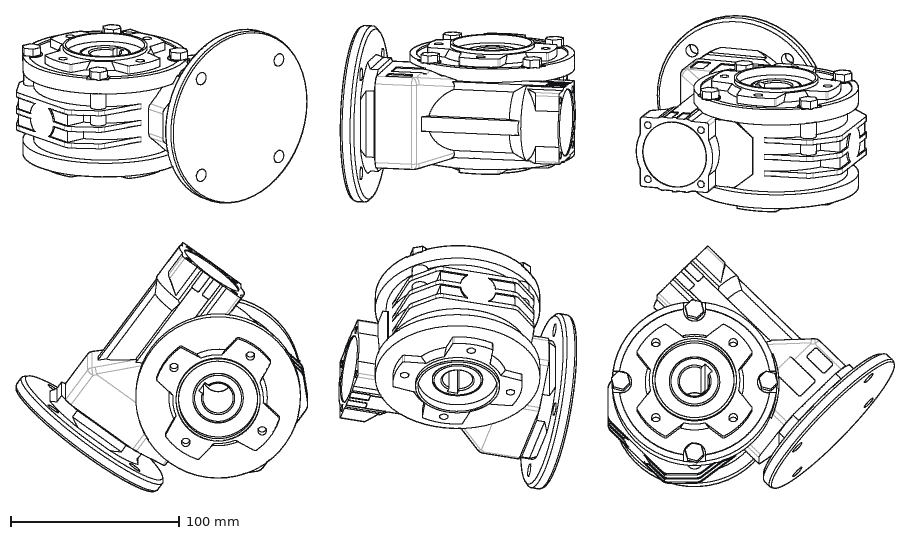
import cadquery as cq
import math


cover_radius = 98.0 / 2
flange_radius = 105.0 / 2
overall_length = 146.5
worm_axis_y = overall_length - cover_radius - flange_radius
input_end_x = 71.5
block_end_x = 55.7
cap_end_x = -55.1

cut_margin = 1.5
position_tolerance = 0.01

disc_inner_z = 21.5
disc_outer_z = 30.0
bolt_seat_z = 30.5
cover_rim_z = 31.0
foot_top_z = 35.0
lip_top_z = 37.2
seal_face_z = 32.2
shaft_end_z = 32.5

barrel_radius = 42.5
cover_rim_inner_radius = 45.1
lip_radius = 50.0 / 2
seal_radius = 47.0 / 2
cone_base_radius = 29.3
cone_top_radius = 27.0
foot_radius = 38.5
foot_half_width_root = 17.1
foot_half_width_tip = 12.0
foot_corner_fillet = 1.2
foot_hole_diameter = 5.0
foot_hole_circle_radius = 32.5
foot_hole_depth = 8.8

bolt_offset = 31.0
bolt_head_flats = 10.0
bolt_seat_diameter = 13.0
bolt_column_radius = 4.7

shaft_radius = 30.0 / 2
shaft_chamfer = 1.0
bore_radius = 18.0 / 2
bore_chamfer = 0.9
keyway_width = 6.0
keyway_top_y = 11.9

fin_thickness = 3.1
fin_pitch = 10.3
fin_count = 3
fin_root_x = 42.0
fin_root_y = -5.9
fin_corner_x = 38.4
fin_corner_y = -34.4
fin_front_x = 23.9
fin_corner_fillet = 6.0
fin_back_depth = 1.0
fin_back_half_width = 22.9
plug_radius = 10.8

tube_radius = 19.8
plate_side = 43.0
plate_corner_fillet = 1.6
plate_outer_x = -40.9
plate_inner_x = -33.3
plate_slope_y = 10.3
collar_radius = 48.2 / 2
collar_half_height = 22.7
collar_end_x = -32.4
tube_start_x = -24.3
spine_top_z = 23.0
spine_half_width = 6.2
spine_root_half_width = 7.0
spine_root_z = 17.6
side_rib_reach = 23.0
side_rib_thickness = 8.8
cap_radius = 40.0 / 2
cap_recess = 0.7
plate_hole_diameter = 4.1
plate_hole_offset = 16.7
plate_hole_depth = 8.8
slot_length = 11.7
slot_width = 5.1
slot_spacing = 7.8
slot_depth = 0.6
slot_fillet = 0.9
web_start_x = -42.9
web_half_height = 20.5
web_front_half_height = 11.3
web_chamfer_y = 11.4

block_half_height = 27.8
block_front_y = -1.6
block_back_y = 71.6
block_front_half_height = 9.4
block_chamfer_y = 22.3
block_diagonal_offset = 39.7
block_slope_start_x = 31.8
block_slope = 0.215
block_fillet = 4.0
cover_clearance_radius = 50.2
cover_clearance_z = 25.2
panel_depth = 0.66
side_panel = (28.4, 50.1, 38.4, 52.0)
label_panel = (35.5, 50.2, 58.5, 66.6)
panel_corner_fillet = 1.2

flange_back_x = 63.4
flange_back_chamfer = 1.9
flange_face_chamfer_x = 1.3
flange_face_chamfer_radial = 0.7
neck_radius = 35.7
neck_width = 59.2
neck_height = 61.8
neck_flare = 3.0
flange_hole_diameter = 7.5
flange_hole_offset = 30.0


def box(x_min, x_max, y_min, y_max, z_min, z_max):
    return (
        cq.Workplane("XY")
        .box(x_max - x_min, y_max - y_min, z_max - z_min, centered=False)
        .translate((x_min, y_min, z_min))
    )


def disc(radius, z_min, z_max):
    return cq.Workplane("XY").workplane(offset=z_min).circle(radius).extrude(z_max - z_min)


def worm_plane(x):
    """Plane facing +X on the worm axis; its local axes are the part's Y and Z."""
    return cq.Workplane("YZ", origin=(x, worm_axis_y, 0))


def foot_arm():
    """Tapered mounting arm pointing along +X."""
    taper = (foot_half_width_root - foot_half_width_tip) / foot_radius
    reach = foot_radius + cut_margin
    tip = foot_half_width_root - taper * reach
    wedge = (
        cq.Workplane("XY")
        .workplane(offset=disc_outer_z)
        .polyline([(0, -foot_half_width_root), (reach, -tip), (reach, tip), (0, foot_half_width_root)])
        .close()
        .extrude(foot_top_z - disc_outer_z)
    )
    arm = wedge.intersect(disc(foot_radius, disc_outer_z, foot_top_z))
    return arm.edges("|Z").edges(">X").fillet(foot_corner_fillet)


def bolt_seat(height):
    """Round-ended slot open to the rim, on the diagonal between +X and +Y."""
    distance = bolt_offset * math.sqrt(2)
    outward = cover_radius + cut_margin - distance
    seat = disc(bolt_seat_diameter / 2, 0, height).union(
        box(0, outward, -bolt_seat_diameter / 2, bolt_seat_diameter / 2, 0, height)
    )
    seat = seat.translate((distance, 0, disc_outer_z)).rotate((0, 0, 0), (0, 0, 1), 45)
    return seat.intersect(disc(cover_radius, disc_outer_z, disc_outer_z + height))


def cover():
    """Disc with a raised rim, bolt seats and hexagon bolt heads."""
    blank = disc(cover_radius, disc_inner_z, cover_rim_z)
    plate = blank.cut(disc(cover_rim_inner_radius, disc_outer_z, cover_rim_z))
    rim_height = cover_rim_z - disc_outer_z
    seat_height = bolt_seat_z - disc_outer_z
    head = (
        cq.Workplane("XY")
        .workplane(offset=disc_outer_z)
        .polygon(6, bolt_head_flats, circumscribed=True)
        .extrude(foot_top_z - disc_outer_z)
    )
    for i in range(4):
        turn = ((0, 0, 0), (0, 0, 1), 90 * i)
        plate = plate.cut(bolt_seat(rim_height).rotate(*turn))
        plate = plate.union(bolt_seat(seat_height).rotate(*turn))
    for x in (-bolt_offset, bolt_offset):
        for y in (-bolt_offset, bolt_offset):
            plate = plate.union(head.translate((x, y, 0)))
    return plate


def output_end(base):
    """Adds the mounting arms, seal lip and seal recess on top of a disc."""
    end = base
    for i in range(4):
        end = end.union(foot_arm().rotate((0, 0, 0), (0, 0, 1), 90 * i))
    cone = (
        cq.Workplane("XY")
        .workplane(offset=disc_outer_z)
        .circle(cone_base_radius)
        .workplane(offset=foot_top_z - disc_outer_z)
        .circle(cone_top_radius)
        .loft()
    )
    end = end.union(cone).union(disc(lip_radius, disc_outer_z, lip_top_z))
    end = end.cut(disc(seal_radius, seal_face_z, lip_top_z))
    holes = (
        cq.Workplane("XY")
        .workplane(offset=foot_top_z)
        .polarArray(foot_hole_circle_radius, 0, 360, 4)
        .circle(foot_hole_diameter / 2)
        .extrude(-foot_hole_depth)
    )
    return end.cut(holes)


def fins():
    """Three cooling fins, the wall behind them, the plug pad and the bolt columns."""
    front_y = -cover_radius
    outline = [
        (fin_root_x, fin_root_y),
        (fin_corner_x, fin_corner_y),
        (fin_front_x, front_y),
        (-fin_front_x, front_y),
        (-fin_corner_x, fin_corner_y),
        (-fin_root_x, fin_root_y),
    ]
    fin = cq.Workplane("XY").polyline(outline).close().extrude(fin_thickness)
    fin = fin.edges("|Z").edges("not >Y").fillet(fin_corner_fillet)
    span = (fin_count - 1) * fin_pitch
    back = box(
        -fin_back_half_width, fin_back_half_width, front_y + fin_back_depth, 0, -span / 2, span / 2
    )
    pad = cq.Workplane("XZ").circle(plug_radius).extrude(cover_radius)
    group = back.union(pad)
    for i in range(fin_count):
        group = group.union(fin.translate((0, 0, i * fin_pitch - (span + fin_thickness) / 2)))
    for x in (-bolt_offset, bolt_offset):
        group = group.union(disc(bolt_column_radius, 0, disc_outer_z).translate((x, -bolt_offset, 0)))
    return group


def worm_tube():
    """Tube along the worm axis with collar, end plate, stiffening ribs and cap recess."""
    tube = worm_plane(tube_start_x).circle(tube_radius).extrude(block_end_x - tube_start_x)
    collar = worm_plane(cap_end_x).circle(collar_radius).extrude(collar_end_x - cap_end_x)
    cone = (
        worm_plane(collar_end_x)
        .circle(collar_radius)
        .workplane(offset=tube_start_x - collar_end_x)
        .circle(tube_radius)
        .loft()
    )
    rounds = tube.union(collar).union(cone).intersect(
        worm_plane(cap_end_x).rect(3 * collar_radius, 2 * collar_half_height).extrude(block_end_x - cap_end_x)
    )

    half_side = plate_side / 2
    plate_outline = [
        (cap_end_x, worm_axis_y + half_side),
        (plate_outer_x, worm_axis_y + half_side),
        (plate_inner_x, worm_axis_y + plate_slope_y),
        (plate_inner_x, worm_axis_y - half_side),
        (cap_end_x, worm_axis_y - half_side),
    ]
    plate = (
        cq.Workplane("XY")
        .workplane(offset=-half_side)
        .polyline(plate_outline)
        .close()
        .extrude(plate_side)
        .edges("|X")
        .fillet(plate_corner_fillet)
    )
    spine_section = [
        (-spine_half_width, spine_top_z),
        (spine_half_width, spine_top_z),
        (spine_root_half_width, spine_root_z),
        (spine_root_half_width, -spine_root_z),
        (spine_half_width, -spine_top_z),
        (-spine_half_width, -spine_top_z),
        (-spine_root_half_width, -spine_root_z),
        (-spine_root_half_width, spine_root_z),
    ]
    spine = worm_plane(cap_end_x).polyline(spine_section).close().extrude(block_slope_start_x - cap_end_x)
    side_rib = box(
        collar_end_x, block_slope_start_x, worm_axis_y, worm_axis_y + side_rib_reach,
        -side_rib_thickness / 2, side_rib_thickness / 2,
    )
    worm = rounds.union(plate).union(spine).union(side_rib)

    cap = worm_plane(cap_end_x).circle(cap_radius).extrude(cap_recess)
    holes = (
        worm_plane(cap_end_x)
        .rect(2 * plate_hole_offset, 2 * plate_hole_offset, forConstruction=True)
        .vertices()
        .circle(plate_hole_diameter / 2)
        .extrude(plate_hole_depth)
    )
    worm = worm.cut(cap).cut(holes)

    slot = box(0, slot_length, -slot_width / 2, slot_width / 2, 0, slot_depth)
    slot = slot.edges("|Z and >X").fillet(slot_fillet)
    for y in (worm_axis_y - slot_spacing / 2, worm_axis_y + slot_spacing / 2):
        for z in (spine_top_z - slot_depth, -spine_top_z):
            worm = worm.cut(slot.translate((cap_end_x, y, z)))
    return worm


def front_chamfered_section(front_y, back_y, half_height, front_half_height, chamfer_y):
    """Y-Z outline of a bar whose two -Y corners are cut off."""
    return [
        (back_y, half_height),
        (front_y + chamfer_y, half_height),
        (front_y, front_half_height),
        (front_y, -front_half_height),
        (front_y + chamfer_y, -half_height),
        (back_y, -half_height),
    ]


def barrel_web():
    """Bar that joins the worm tube to the barrel."""
    section = front_chamfered_section(
        0, worm_axis_y, web_half_height, web_front_half_height, web_chamfer_y
    )
    return cq.Workplane("YZ", origin=(web_start_x, 0, 0)).polyline(section).close().extrude(-web_start_x)


def is_back_wall_edge(edge):
    """True for edges along the +Y wall, the 45 degree wall and the round between them."""
    center = edge.Center()
    beyond_diagonal = center.y - center.x > block_diagonal_offset - block_fillet / 2
    beyond_back = center.y > block_back_y - block_fillet / 2
    is_end_edge = center.x < position_tolerance or center.x > block_end_x - position_tolerance
    return (beyond_diagonal or beyond_back) and not is_end_edge


def worm_block():
    """Large block at the input end, with a 45 degree wall and sloping top and bottom."""
    section = front_chamfered_section(
        block_front_y, block_back_y, block_half_height, block_front_half_height, block_chamfer_y
    )
    bar = cq.Workplane("YZ").polyline(section).close().extrude(block_end_x)
    bar = bar.edges("|X").edges("not >Y").fillet(block_fillet)
    plan = [
        (block_end_x, block_front_y),
        (block_end_x, block_back_y),
        (block_back_y - block_diagonal_offset, block_back_y),
        (0, block_diagonal_offset),
        (0, block_front_y),
    ]
    bar = bar.intersect(
        cq.Workplane("XY").workplane(offset=-block_half_height).polyline(plan).close()
        .extrude(2 * block_half_height)
    )
    inner_half_height = block_half_height - block_slope * block_slope_start_x
    profile = [
        (block_end_x, block_half_height),
        (block_slope_start_x, block_half_height),
        (0, inner_half_height),
        (0, -inner_half_height),
        (block_slope_start_x, -block_half_height),
        (block_end_x, -block_half_height),
    ]
    bar = bar.intersect(
        cq.Workplane("XZ", origin=(0, block_back_y, 0)).polyline(profile).close()
        .extrude(block_back_y - block_front_y)
    )
    upright_corner = bar.edges("|Z").edges(">Y").edges("<X")
    bar = bar.edges("not |Z").filter(is_back_wall_edge).add(upright_corner).fillet(block_fillet)

    floor_z = block_half_height - panel_depth
    for x_min, x_max, y_min, y_max in (side_panel, label_panel):
        panel = box(x_min, x_max, y_min, y_max, floor_z, block_half_height)
        bar = bar.cut(panel.edges("|Z").fillet(panel_corner_fillet))
    return bar.cut(disc(cover_clearance_radius, cover_clearance_z, lip_top_z))


def housing_body():
    top_end = output_end(cover())
    bottom_end = output_end(disc(cover_radius, disc_inner_z, disc_outer_z)).mirror("XY")
    body = disc(barrel_radius, -disc_inner_z, disc_inner_z)
    body = body.union(barrel_web()).union(fins()).union(worm_tube())
    body = body.union(worm_block()).union(top_end).union(bottom_end)
    return body.cut(disc(shaft_radius, -lip_top_z, lip_top_z))


def output_shaft():
    """Hollow output shaft with a keyway."""
    shaft = disc(shaft_radius, -shaft_end_z, shaft_end_z).faces("<Z or >Z").chamfer(shaft_chamfer)
    shaft = shaft.cut(disc(bore_radius, -shaft_end_z, shaft_end_z))
    bore_rims = cq.selectors.RadiusNthSelector(0)
    shaft = shaft.faces("<Z or >Z").edges(bore_rims).chamfer(bore_chamfer)
    keyway = box(-keyway_width / 2, keyway_width / 2, 0, keyway_top_y, -shaft_end_z, shaft_end_z)
    return shaft.cut(keyway)


def motor_flange():
    """Round motor flange on a flat-sided neck."""
    plate = (
        worm_plane(flange_back_x).circle(flange_radius).extrude(input_end_x - flange_back_x)
        .faces("<X").chamfer(flange_back_chamfer)
        .faces(">X").edges().chamfer(flange_face_chamfer_x, flange_face_chamfer_radial)
    )
    flare_x = flange_back_x - neck_flare
    neck = worm_plane(block_end_x).rect(neck_width, neck_height).extrude(flare_x - block_end_x)
    flare = worm_plane(flare_x).rect(neck_width, neck_height).extrude(neck_flare, taper=-45)
    round_limit = worm_plane(block_end_x).circle(neck_radius).extrude(flange_back_x - block_end_x)
    holes = (
        worm_plane(flange_back_x)
        .rect(2 * flange_hole_offset, 2 * flange_hole_offset, forConstruction=True)
        .vertices()
        .circle(flange_hole_diameter / 2)
        .extrude(input_end_x - flange_back_x)
    )
    return plate.union(neck.union(flare).intersect(round_limit)).cut(holes)


housing = housing_body()
shaft = output_shaft()
flange = motor_flange()

result = cq.Compound.makeCompound([housing.val(), shaft.val(), flange.val()])